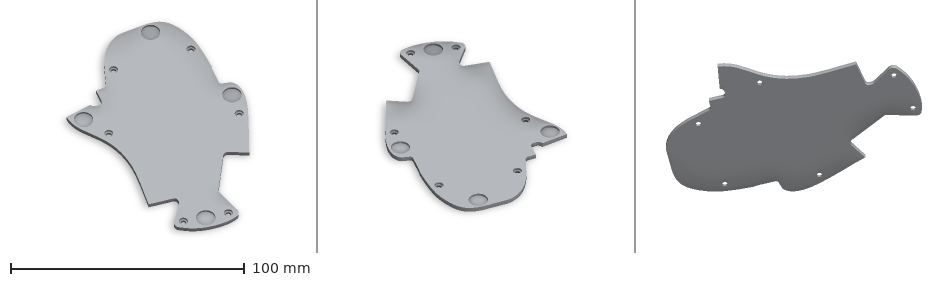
import cadquery as cq

plate_thickness = 2.0
pocket_diameter = 8.3
pocket_depth = 1.0
screw_diameter = 2.3
screw_head_diameter = 3.9
screw_head_depth = 1.0

pocket_centers = [(-51.8, 12.8), (-7.1, 32.6), (51.2, -2.6), (-18.0, -31.5)]
screw_centers = [
    (-36.8, 25.5),
    (3.5, 31.7),
    (52.2, 7.4),
    (49.4, -12.2),
    (-38.6, -9.5),
    (-7.0, -24.2),
]

nose_top = (-56.6, 12.5)
nose_bottom = (-56.0, 1.1)
back_end = (-16.1, 29.9)
dorsal_base = (-14.4, 31.4)
dorsal_front = (-13.8, 34.5)
dorsal_tip = (25.0, 27.9)
dorsal_notch_top = (21.3, 19.8)
dorsal_notch_end = (23.0, 16.5)
tail_root_top = (39.6, 7.7)
tail_tip_top = (53.8, 11.5)
tail_tip_bottom = (47.8, -15.7)
tail_root_bottom = (39.2, -10.2)
tail_notch = (36.2, -11.9)
anal_tip = (35.3, -22.7)
pelvic_tip = (-22.0, -37.7)
pelvic_root = (-24.5, -25.8)
gill_root = (-24.7, -20.6)
jaw_corner = (-30.8, -20.6)
jaw_top = (-31.0, -17.0)
jaw_end = (-32.9, -15.3)


def fish_outline():
    """Closed edge of the fish, clockwise from the top of the nose."""
    outline = cq.Workplane("XY").moveTo(*nose_top)

    outline = outline.spline(
        [(-54.6, 20.7), (-46.5, 26.6), (-36.1, 29.5), (-24.9, 30.2), back_end],
        tangents=[(0, 1), (1, 0)],
        includeCurrent=True,
    )
    outline = outline.threePointArc((-14.8, 30.2), dorsal_base)
    outline = outline.lineTo(*dorsal_front)

    outline = outline.spline(
        [(-11.5, 36.7), (-6.3, 37.7), (2.7, 36.0), (12.9, 32.4), dorsal_tip],
        includeCurrent=True,
    )
    outline = outline.lineTo(*dorsal_notch_top)
    outline = outline.threePointArc((21.3, 18.0), dorsal_notch_end)
    outline = outline.lineTo(*tail_root_top)

    outline = outline.lineTo(51.2, 11.2)
    outline = outline.spline([tail_tip_top, (55.0, 10.6)], includeCurrent=True)
    outline = outline.spline(
        [(56.2, 7.1), (56.6, 2.3), (56.1, -4.5), (54.6, -9.7), (52.0, -14.7)],
        includeCurrent=True,
    )
    outline = outline.threePointArc((50.4, -16.3), tail_tip_bottom)
    outline = outline.lineTo(40.8, -11.0)
    outline = outline.threePointArc(tail_root_bottom, (37.5, -10.2))
    outline = outline.threePointArc((36.7, -10.6), tail_notch)
    outline = outline.lineTo(*anal_tip)

    outline = outline.spline(
        [(24.9, -21.9), (12.9, -21.6), (3.4, -23.6), (-5.4, -28.1), (-13.6, -34.5), pelvic_tip],
        includeCurrent=True,
    )
    outline = outline.lineTo(*pelvic_root)

    outline = outline.threePointArc((-23.1, -24.5), (-23.1, -22.5))
    outline = outline.threePointArc((-23.5, -21.2), gill_root)
    outline = outline.lineTo(*jaw_corner)
    outline = outline.lineTo(*jaw_top)
    outline = outline.threePointArc((-31.6, -15.9), jaw_end)
    outline = outline.spline(
        [(-42.3, -12.3), (-50.5, -7.8), (-54.4, -3.4), nose_bottom],
        includeCurrent=True,
    )
    return outline.close()


plate = fish_outline().extrude(plate_thickness)

plate = plate.faces(">Z").workplane(origin=(0, 0, plate_thickness))
plate = plate.pushPoints(pocket_centers).hole(pocket_diameter, pocket_depth)

plate = plate.faces(">Z").workplane(origin=(0, 0, plate_thickness))
result = plate.pushPoints(screw_centers).cboreHole(screw_diameter, screw_head_diameter, screw_head_depth)